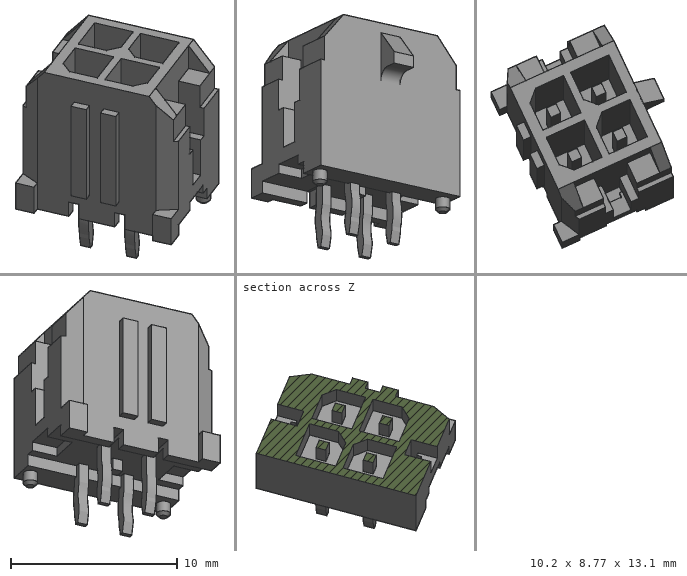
import cadquery as cq
import math


width = 10.15
height = 9.91
back_y = 3.39
front_y = -3.47
length = back_y - front_y
half_width = width / 2

tower_half_width = 3.42
shoulder_half_width = 4.80
shoulder_z = 8.28
step_z = 6.75
back_gusset = 0.77
front_gusset = 1.03

corner_half_width = 3.87
corner_depth = 0.63
front_projection = 0.50
foot_top_z = 1.87
rib_width = 1.0
rib_spacing = 1.92

wide_slot_width = 2.20
wide_slot_z = 4.79
narrow_slot_width = 1.17
narrow_slot_z = 2.28

recess_depth = 0.5
recess_head_half_width = 3.84
recess_stem_half_width = 4.13
recess_stem_width = 0.80

pitch = 3.0
half_pitch = pitch / 2
pin_size = 0.64
pin_half = pin_size / 2
pin_top_z = 7.4
pin_bottom_z = -3.18
bend_top_z = -0.50
bend_bottom_z = -2.20
bend_offset = 0.13
taper_z = -2.45
tip_half = 0.14
cavity_width = 2.51
cavity_length = 2.53
cavity_y_offset = -0.02
cavity_floor_z = 2.3
cavity_chamfer = 0.68

channel_z = 0.75
channel_back_y = 1.55
channel_front_y = -2.80
side_notch_y = -0.04
side_notch_length = 2.02
side_notch_z = 1.33
pin_slot_z = 1.02
post_y = -0.02
post_width = 0.64

peg_x = 4.475
peg_y = 2.42
peg_diameter = 0.88
peg_length = 0.85
peg_chamfer = 0.20

latch_width = 1.40
latch_reach = 1.41
latch_top_z = 9.28
latch_nose_z = 7.68
latch_bottom_z = 6.95
latch_radius = 0.70


def box(x_min, x_max, y_min, y_max, z_min, z_max):
    """Axis-aligned block between the given limits."""
    block = cq.Workplane("XY").box(x_max - x_min, y_max - y_min, z_max - z_min, centered=False)
    return block.translate((x_min, y_min, z_min))


def both_sides(shape):
    """The shape together with its mirror image across X = 0."""
    return shape.union(shape.mirror("YZ"))


def make_shell():
    """Stepped body with sloped shoulders, before any cuts."""
    profile = [
        (-half_width, 0),
        (half_width, 0),
        (half_width, step_z),
        (shoulder_half_width, step_z),
        (shoulder_half_width, shoulder_z),
        (tower_half_width, height),
        (-tower_half_width, height),
        (-shoulder_half_width, shoulder_z),
        (-shoulder_half_width, step_z),
        (-half_width, step_z),
    ]
    return cq.Workplane("XZ", origin=(0, back_y, 0)).polyline(profile).close().extrude(length)


def corner_cut():
    """Wedge that slants one front corner above its foot."""
    wedge = [
        (corner_half_width, front_y),
        (half_width, front_y),
        (half_width, front_y + corner_depth),
    ]
    sketch = cq.Workplane("XY", origin=(0, 0, foot_top_z)).polyline(wedge).close()
    return sketch.extrude(height - foot_top_z)


def side_cut():
    """Ledge between the gussets and the stepped slot below it, on the +X side."""
    ledge = box(tower_half_width, half_width, front_y + front_gusset, back_y - back_gusset,
                shoulder_z, height)
    wide_slot = box(tower_half_width, half_width, -wide_slot_width / 2,
                    wide_slot_width / 2, wide_slot_z, height)
    narrow_slot = box(tower_half_width, half_width, -narrow_slot_width / 2,
                      narrow_slot_width / 2, narrow_slot_z, height)
    return ledge.union(wide_slot).union(narrow_slot)


def recess_cut():
    """T-shaped recess in the slot floor, on the +X side."""
    bottom_z = narrow_slot_z - recess_depth
    head = box(tower_half_width, recess_head_half_width, -narrow_slot_width / 2,
               narrow_slot_width / 2, bottom_z, narrow_slot_z)
    stem = box(tower_half_width, recess_stem_half_width, -recess_stem_width / 2,
               recess_stem_width / 2, bottom_z, narrow_slot_z)
    return head.union(stem)


def underside_cuts():
    """Channel across the underside, notches in the side walls and slots in front of the pins."""
    channel = box(-half_width, half_width, channel_front_y, channel_back_y, 0, channel_z)
    notch = box(tower_half_width, half_width, side_notch_y - side_notch_length / 2,
                side_notch_y + side_notch_length / 2, 0, side_notch_z)
    pin_slot = box(half_pitch - pin_half, half_pitch + pin_half, front_y, -half_pitch, 0, pin_slot_z)
    return channel.union(both_sides(notch)).union(both_sides(pin_slot))


def cavity(x, y, chamfered_corner):
    """Contact cavity at (x, y) with one vertical edge chamfered."""
    block = cq.Workplane("XY").box(cavity_width, cavity_length, height - cavity_floor_z,
                                   centered=(True, True, False))
    block = block.edges("|Z").edges(chamfered_corner).chamfer(cavity_chamfer)
    return block.translate((x, y + cavity_y_offset, cavity_floor_z))


def pin():
    """Contact pin of the front row, centred on the Z axis, with its tail bowed toward -Y."""
    bend_mid_z = (bend_top_z + bend_bottom_z) / 2
    profile = (
        cq.Workplane("YZ", origin=(-pin_half, 0, 0))
        .moveTo(-pin_half, pin_top_z)
        .lineTo(-pin_half, bend_top_z)
        .threePointArc((-pin_half - bend_offset, bend_mid_z), (-pin_half, bend_bottom_z))
        .lineTo(-pin_half, taper_z)
        .lineTo(-tip_half, pin_bottom_z)
        .lineTo(tip_half, pin_bottom_z)
        .lineTo(pin_half, taper_z)
        .lineTo(pin_half, bend_bottom_z)
        .threePointArc((pin_half - bend_offset, bend_mid_z), (pin_half, bend_top_z))
        .lineTo(pin_half, pin_top_z)
        .close()
    )
    return profile.extrude(pin_size)


def front_foot():
    """Block that carries one front corner forward of the housing."""
    return box(corner_half_width, half_width, front_y - front_projection, front_y, 0, foot_top_z)


def front_rib():
    """Polarising rib on the front face, on the +X side."""
    centre_x = rib_spacing / 2
    return box(centre_x - rib_width / 2, centre_x + rib_width / 2,
               front_y - front_projection, front_y, foot_top_z, shoulder_z)


def centre_post():
    """Square standoff post in the middle of the underside channel."""
    return box(-post_width / 2, post_width / 2, post_y - post_width / 2, post_y + post_width / 2,
               0, channel_z)


def peg():
    """Locating peg under the housing, on the +X side."""
    cylinder = cq.Workplane("XY").center(peg_x, peg_y).circle(peg_diameter / 2).extrude(-peg_length)
    return cylinder.faces("<Z").chamfer(peg_chamfer)


def latch():
    """Ramped latch on the back face with a concave fillet beneath it."""
    fillet_y = back_y + latch_radius
    fillet_z = latch_bottom_z - latch_radius
    arc_leg = latch_radius * math.sqrt(0.5)
    profile = (
        cq.Workplane("YZ", origin=(-latch_width / 2, 0, 0))
        .moveTo(back_y, latch_top_z)
        .lineTo(back_y + latch_reach, latch_nose_z)
        .lineTo(back_y + latch_reach, latch_bottom_z)
        .lineTo(fillet_y, latch_bottom_z)
        .threePointArc((fillet_y - arc_leg, fillet_z + arc_leg), (back_y, fillet_z))
        .close()
    )
    return profile.extrude(latch_width)


body = make_shell()
body = body.cut(both_sides(corner_cut()))
body = body.cut(both_sides(side_cut()))
body = body.cut(both_sides(recess_cut()))
body = body.cut(underside_cuts())

for side in (-1, 1):
    outer_corner = ">X and <Y" if side > 0 else "<X and <Y"
    inner_corner = "<X and <Y" if side > 0 else ">X and <Y"
    body = body.cut(cavity(side * half_pitch, -half_pitch, outer_corner))
    body = body.cut(cavity(side * half_pitch, half_pitch, inner_corner))

for feature in (front_foot(), front_rib(), peg()):
    body = body.union(both_sides(feature))
body = body.union(latch())
body = body.union(centre_post())

for x in (-half_pitch, half_pitch):
    front_pin = pin().translate((x, -half_pitch, 0))
    body = body.union(front_pin).union(front_pin.mirror("XZ"))

result = body